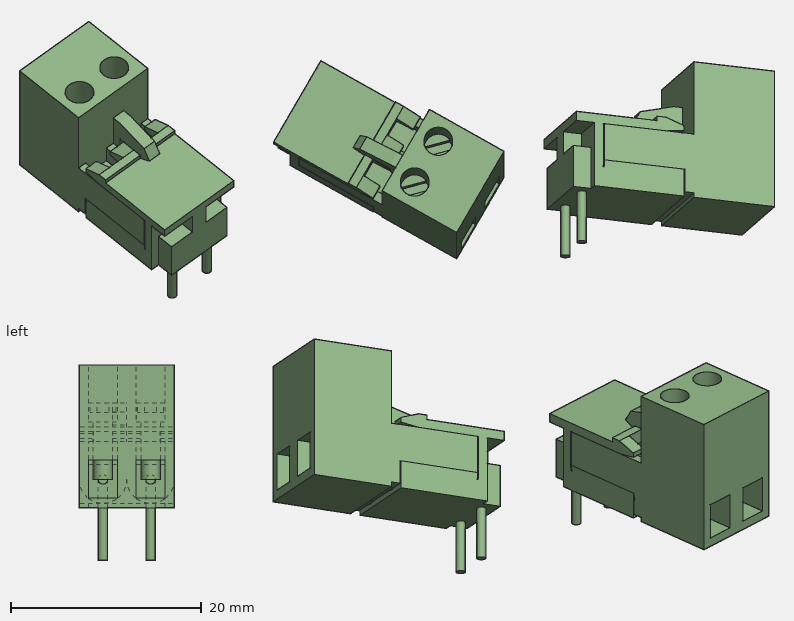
import cadquery as cq

pole_count = 2
pitch = 5.0
total_length = 22.1
width = pole_count * pitch
pole_centres = [(pole + 0.5) * pitch for pole in range(pole_count)]

block_length = 9.0
block_height = 15.0
flange_end = 10.0
tongue_end = 19.0
tongue_top = 6.99
floor_thickness = 0.49
barrel_radius = pitch / 2
barrel_axis_z = floor_thickness + barrel_radius
groove_width = 3.0

entry_width = groove_width
entry_bottom = 1.02
entry_top = 5.0
entry_depth = 7.95
screw_x = 6.5

head_diameter = 3.0
head_bottom = 9.0
head_top = 11.0
shank_diameter = 2.03
shank_bottom = barrel_axis_z
drive_slot_width = 1.02
drive_slot_depth = 1.0
drive_slot_angle = 45.0

header_front = 10.1
roof_front = 12.12
catch_end = 13.11
cavity_end = 19.1
back_wall_end = 20.12
roof_top = 8.0
catch_top = 8.5
nose_width = 1.5
nose_tip_bottom = 7.27
nose_tip_top = 7.78
pin_block_margin = 1.0
pin_block_top = 4.53
rear_rib_width = 2.0

latch_width = 1.5
latch_top = 11.0
latch_shoulder_x = 13.7
latch_shoulder_z = 10.04
latch_tip_x = 14.5
latch_tip_z = 8.71

pin_diameter = 1.0
pin_bottom = -5.5
pin_leg_x = back_wall_end + pin_diameter / 2


def box(x_range, y_range, z_range):
    """Box that fills the given ranges."""
    lows, highs = zip(x_range, y_range, z_range)
    sizes = [high - low for low, high in zip(lows, highs)]
    return cq.Workplane("XY").box(*sizes, centered=False).translate(lows)


def centred(middle, size):
    """Range of the given size about its middle."""
    return (middle - size / 2, middle + size / 2)


def side_profile(points, y_start, thickness):
    """Outline in X and Z, extruded toward +Y from y_start."""
    outline = cq.Workplane("XZ", origin=(0, y_start, 0)).polyline(points).close()
    return outline.extrude(-thickness)


def barrel_section(start_x, length, edge_z):
    """Extrude along X the section between height edge_z and the row of barrel arcs."""
    section = cq.Workplane("YZ", origin=(start_x, 0, 0)).moveTo(0, barrel_axis_z)
    for centre in pole_centres:
        section = section.threePointArc(
            (centre, floor_thickness), (centre + barrel_radius, barrel_axis_z)
        )
    return section.lineTo(width, edge_z).lineTo(0, edge_z).close().extrude(length)


def make_pin(centre):
    """Right-angle pin: level in the plug and the header, then straight down."""
    path = cq.Workplane("XZ", origin=(0, centre, 0)).polyline(
        [(entry_depth, barrel_axis_z), (pin_leg_x, barrel_axis_z), (pin_leg_x, pin_bottom)]
    )
    section = cq.Workplane("YZ", origin=(entry_depth, centre, barrel_axis_z)).circle(pin_diameter / 2)
    return section.sweep(path, transition="right")


def make_screw(centre):
    """Clamping screw: slotted head on a thinner shank that reaches into the wire entry."""
    shank = cq.Workplane("XY", origin=(screw_x, centre, shank_bottom)).circle(shank_diameter / 2)
    head = cq.Workplane("XY", origin=(screw_x, centre, head_bottom)).circle(head_diameter / 2)
    slot = (
        cq.Workplane("XY", origin=(screw_x, centre, head_top))
        .transformed(rotate=(0, 0, drive_slot_angle))
        .rect(2 * head_diameter, drive_slot_width)
        .extrude(-drive_slot_depth)
    )
    return (
        shank.extrude(head_bottom - shank_bottom)
        .union(head.extrude(head_top - head_bottom))
        .cut(slot)
    )


def make_latch():
    """Hooked arm that reaches over the header catch, on the +Y side of the middle."""
    points = [
        (block_length, tongue_top),
        (block_length, latch_top),
        (flange_end, latch_top),
        (latch_shoulder_x, latch_shoulder_z),
        (latch_tip_x, latch_tip_z),
        (catch_end, roof_top),
        (catch_end, catch_top),
        (flange_end, catch_top),
        (flange_end, tongue_top),
    ]
    return side_profile(points, width / 2, latch_width)


def cut_pole_openings(plug, centre):
    """Wire entry, stepped screw hole, pin hole and tongue groove of one pole."""
    entry = box((0, entry_depth), centred(centre, entry_width), (entry_bottom, entry_top))
    head_hole = (
        cq.Workplane("XY", origin=(screw_x, centre, head_bottom))
        .circle(head_diameter / 2)
        .extrude(block_height - head_bottom)
    )
    groove = box(
        (block_length, tongue_end),
        centred(centre, groove_width),
        (entry_top, tongue_top),
    )
    plug = plug.cut(entry).cut(head_hole).cut(groove)
    return plug.cut(make_screw(centre)).cut(make_pin(centre))


def make_plug():
    """Terminal block, flange and barrelled tongue in one piece, with the latch."""
    plug = box((0, block_length), (0, width), (0, block_height))
    plug = plug.union(box((block_length, flange_end), (0, width), (floor_thickness, tongue_top)))
    plug = plug.union(barrel_section(flange_end, tongue_end - flange_end, tongue_top))
    for centre in pole_centres:
        plug = cut_pole_openings(plug, centre)
    return plug.union(make_latch())


def make_nose(y_start):
    """Tapered lead-in at the front of the roof."""
    points = [
        (roof_front, tongue_top),
        (header_front, nose_tip_bottom),
        (header_front, nose_tip_top),
        (roof_front, catch_top),
    ]
    return side_profile(points, y_start, nose_width)


def make_header():
    """Floor, back wall, roof and pin block in one piece."""
    header = barrel_section(header_front, cavity_end - header_front, 0)
    header = header.union(box((cavity_end, back_wall_end), (0, width), (0, roof_top)))
    header = header.union(box((roof_front, total_length), (0, width), (tongue_top, roof_top)))
    header = header.union(box((roof_front, catch_end), (0, width), (roof_top, catch_top)))

    for centre in pole_centres:
        header = header.union(make_nose(centre - pitch / 2))
        header = header.union(make_nose(centre + pitch / 2 - nose_width))

    rear = (back_wall_end, total_length)
    header = header.union(box(rear, (pin_block_margin, width - pin_block_margin), (0, pin_block_top)))
    header = header.union(box(rear, centred(width / 2, rear_rib_width), (pin_block_top, tongue_top)))

    for centre in pole_centres:
        header = header.cut(make_pin(centre))
    return header


plug_housing = make_plug()
header_housing = make_header()
screws = [make_screw(centre).val() for centre in pole_centres]
pins = [make_pin(centre).val() for centre in pole_centres]

result = cq.Compound.makeCompound([plug_housing.val(), header_housing.val(), *screws, *pins])